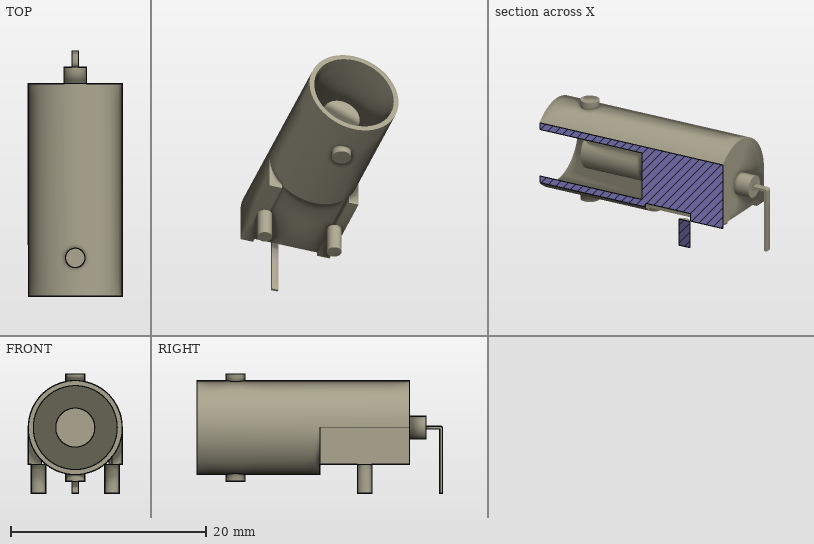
import cadquery as cq


barrel_dia = 9.65
bore_dia = 8.62
wall = (barrel_dia - bore_dia) / 2
barrel_length = 21.82
block_front = 12.63
bore_depth = block_front - wall
block_length = barrel_length - block_front
block_bottom = -3.78
leg_inner_x = 3.45
channel_top = -3.35
notch_top = -2.95

lug_dia = 2.0
lug_y = 3.95
lug_tip_z = 5.52
lug_root_z = (bore_dia + wall) / 2

post_dia = 1.5
post_x = 3.78
post_y = block_front + block_length / 2
post_bottom = -6.75

contact_dia = 4.0
contact_front = 4.03
stem_dia = 2.35
stem_end = 23.5
lead_end = 25.2
lead_thickness = 0.3
lead_width = 0.7
lead_bend_radius = 0.23


def y_cylinder(diameter, start, end):
    """Cylinder on the barrel axis between two Y positions."""
    plane = cq.Workplane("XZ", origin=(0, start, 0))
    return plane.circle(diameter / 2).extrude(start - end)


def z_cylinder(diameter, x, y, bottom, top):
    """Vertical cylinder between two Z positions."""
    plane = cq.Workplane("XY", origin=(x, y, bottom))
    return plane.circle(diameter / 2).extrude(top - bottom)


def box_between(x_range, y_range, z_range):
    """Box given by its limits along X, Y and Z."""
    size = [high - low for low, high in (x_range, y_range, z_range)]
    corner = (x_range[0], y_range[0], z_range[0])
    return cq.Workplane("XY").box(*size, centered=False).translate(corner)


def make_leg_notch():
    """Cut in the inner face of the +X leg, from its front to a round end at the post axis."""
    z_range = (block_bottom, notch_top)
    slot = box_between((leg_inner_x, post_x), (block_front, post_y), z_range)
    round_end = z_cylinder(post_dia, post_x, post_y, *z_range)
    inner_half = box_between((leg_inner_x, post_x), (block_front, barrel_length), z_range)
    return slot.union(round_end.intersect(inner_half))


def make_housing():
    barrel = y_cylinder(barrel_dia, 0, barrel_length)
    half_width = barrel_dia / 2
    block_y = (block_front, barrel_length)
    block = box_between((-half_width, half_width), block_y, (block_bottom, 0))
    below_block = box_between((-half_width, half_width), block_y, (-barrel_dia, block_bottom))
    channel = box_between((-leg_inner_x, leg_inner_x), block_y, (block_bottom, channel_top))
    body = barrel.union(block).cut(below_block).cut(channel).cut(make_leg_notch())
    for bottom, top in ((lug_root_z, lug_tip_z), (-lug_tip_z, -lug_root_z)):
        body = body.union(z_cylinder(lug_dia, 0, lug_y, bottom, top))
    body = body.cut(y_cylinder(bore_dia, 0, bore_depth))
    return body.cut(y_cylinder(stem_dia, bore_depth, barrel_length))


def make_post(x):
    return z_cylinder(post_dia, x, post_y, post_bottom, block_bottom)


def make_lead():
    """Flat lead that leaves the stem along Y and bends down behind the housing."""
    half_thickness = lead_thickness / 2
    inner_y = lead_end - lead_thickness
    outline = (
        cq.Workplane("YZ")
        .moveTo(stem_end, half_thickness)
        .lineTo(lead_end - lead_bend_radius, half_thickness)
        .radiusArc((lead_end, half_thickness - lead_bend_radius), lead_bend_radius)
        .lineTo(lead_end, post_bottom)
        .lineTo(inner_y, post_bottom)
        .lineTo(inner_y, -half_thickness)
        .lineTo(stem_end, -half_thickness)
        .close()
    )
    return outline.extrude(lead_width / 2, both=True)


def make_center_contact():
    rod = y_cylinder(contact_dia, contact_front, bore_depth)
    stem = y_cylinder(stem_dia, bore_depth, stem_end)
    return rod.union(stem).union(make_lead())


housing = make_housing()
posts = [make_post(x) for x in (-post_x, post_x)]
center_contact = make_center_contact()

result = cq.Compound.makeCompound([
    housing.solids().val(),
    *[post.val() for post in posts],
    center_contact.solids().val(),
])